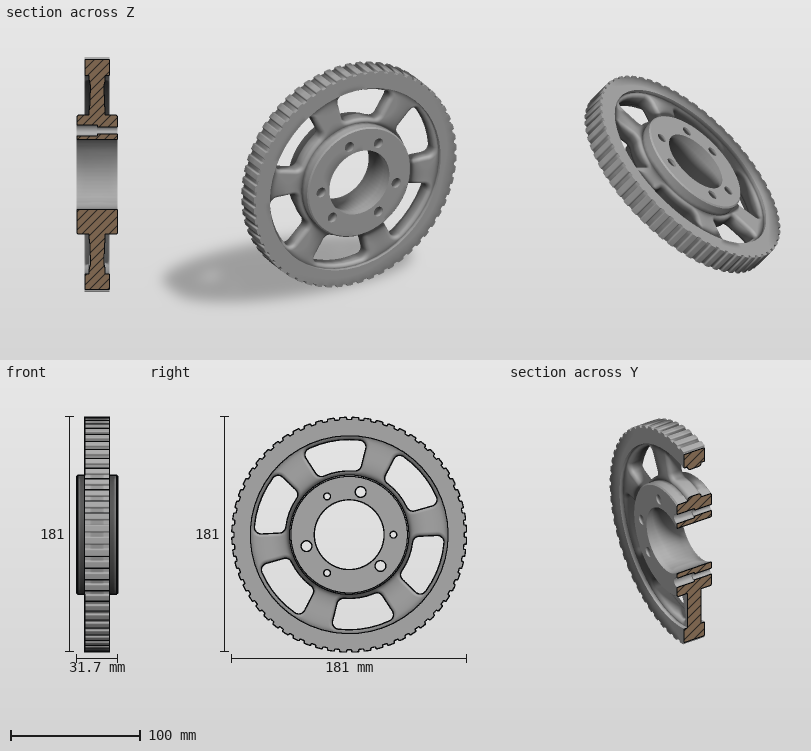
import cadquery as cq
import math

outer_diameter = 181.1
hub_width = 31.7
hub_diameter = 92.0
hub_chamfer = 1.0
bore_diameter = 53.6

rim_width = 19.2
rim_inner_diameter = 152.5
tooth_count = 60
groove_depth = 1.8
groove_top_width = 4.2
groove_bottom_width = 3.5
tooth_tip_radius = 0.9
groove_root_radius = 0.5

web_width = 12.7
window_count = 6
window_inner_radius = 49.3
window_outer_radius = 73.2
window_taper_angle = 23.5
window_apex_radius = 10.0
first_window_angle = 39.3
window_corner_radius = 5.0
window_edge_fillet = 2.9

bolt_circle_radius = 34.0
bolt_hole_diameter = 8.2
clearance_hole_angles = (75.0, 195.0, 315.0)
stepped_hole_angles = (0.0, 120.0, 240.0)
step_bore_diameter = 5.0
counterbore_depth = hub_width / 2


def polar(radius, angle):
    """Point in the YZ plane; the angle in degrees runs from +Y toward +Z."""
    return radius * math.cos(math.radians(angle)), radius * math.sin(math.radians(angle))


def axis_distance(edge):
    """Distance from the pulley axis to the middle of a straight edge parallel to it."""
    return math.hypot(edge.Center().y, edge.Center().z)


def plate(width):
    """Workplane from which a +X extrusion of the given width is centred on X = 0."""
    return cq.Workplane("YZ", origin=(-width / 2, 0, 0))


def disc(diameter, width):
    """Disc on the X axis, centred on the middle plane."""
    return plate(width).circle(diameter / 2).extrude(width)


def window_cutter(centre_angle):
    """Opening with two tapered sides between an inner and an outer arc, corners rounded."""

    def half_angle(radius):
        """Angle at the pulley axis from the window centre line to where a side meets the radius."""
        lean = math.asin(window_apex_radius * math.sin(math.radians(window_taper_angle)) / radius)
        return window_taper_angle - math.degrees(lean)

    inner_half = half_angle(window_inner_radius)
    outer_half = half_angle(window_outer_radius)
    opening = (
        plate(web_width)
        .moveTo(*polar(window_inner_radius, centre_angle - inner_half))
        .lineTo(*polar(window_outer_radius, centre_angle - outer_half))
        .threePointArc(
            polar(window_outer_radius, centre_angle),
            polar(window_outer_radius, centre_angle + outer_half),
        )
        .lineTo(*polar(window_inner_radius, centre_angle + inner_half))
        .threePointArc(
            polar(window_inner_radius, centre_angle),
            polar(window_inner_radius, centre_angle - inner_half),
        )
        .close()
        .extrude(web_width)
    )
    return opening.edges("|X").fillet(window_corner_radius)


def is_web_outline(edge):
    """True for the outer circle of the web."""
    return edge.geomType() == "CIRCLE" and edge.radius() > window_outer_radius + window_edge_fillet


def make_web():
    """Spoked disc with the window edges rounded on both faces."""
    web = disc(rim_inner_diameter, web_width)
    for index in range(window_count):
        web = web.cut(window_cutter(first_window_angle + index * 360 / window_count))
    face_edges = web.faces("<X or >X").edges()
    window_edges = face_edges.filter(lambda edge: not is_web_outline(edge))
    return window_edges.fillet(window_edge_fillet)


def make_rim():
    """Ring with trapezoidal belt grooves, rounded at the roots and the tooth tips."""
    groove_floor = outer_diameter / 2 - groove_depth
    clear_radius = outer_diameter / 2 + groove_depth
    clear_width = 2 * groove_top_width - groove_bottom_width
    groove = (
        plate(rim_width)
        .polyline([
            (groove_floor, -groove_bottom_width / 2),
            (clear_radius, -clear_width / 2),
            (clear_radius, clear_width / 2),
            (groove_floor, groove_bottom_width / 2),
        ])
        .close()
        .extrude(rim_width)
        .edges("|X and <Y")
        .fillet(groove_root_radius)
        .val()
    )
    axis_start = cq.Vector(0, 0, 0)
    axis_end = cq.Vector(1, 0, 0)
    grooves = [groove.rotate(axis_start, axis_end, i * 360 / tooth_count) for i in range(tooth_count)]
    ring = disc(outer_diameter, rim_width).cut(disc(rim_inner_diameter, rim_width))
    toothed = ring.cut(cq.Compound.makeCompound(grooves))
    mid_depth_radius = outer_diameter / 2 - groove_depth / 2
    tip_edges = toothed.edges("|X").filter(lambda edge: axis_distance(edge) > mid_depth_radius)
    return tip_edges.fillet(tooth_tip_radius)


def bolt_pins(angles, diameter, depth):
    """Pins on the bolt circle, running into the hub from its -X face."""
    centres = [polar(bolt_circle_radius, angle) for angle in angles]
    return plate(hub_width).pushPoints(centres).circle(diameter / 2).extrude(depth)


def cut_holes(body):
    """Central bore, clearance holes and holes counterbored from the -X face."""
    body = body.cut(disc(bore_diameter, hub_width))
    body = body.cut(bolt_pins(clearance_hole_angles, bolt_hole_diameter, hub_width))
    body = body.cut(bolt_pins(stepped_hole_angles, bolt_hole_diameter, counterbore_depth))
    return body.cut(bolt_pins(stepped_hole_angles, step_bore_diameter, hub_width))


hub = disc(hub_diameter, hub_width).faces("<X or >X").chamfer(hub_chamfer)
result = cut_holes(make_web().union(hub).union(make_rim()))